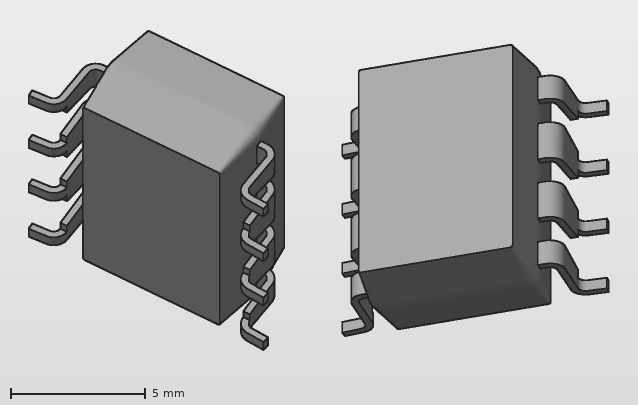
import cadquery as cq
import math


SPAN = 10.4
TOTAL_HEIGHT = 4.85

LEAD_THICKNESS = 0.29
LEAD_PITCH = 2.54
LEADS_PER_SIDE = 4
WIDE_WIDTH = 1.53
NECK_WIDTH = 1.13
FOOT_WIDTH = 0.46
SHANK_OUTER_X = 4.18
FOOT_TILT = 4.0
INNER_BEND = LEAD_THICKNESS
OUTER_BEND = INNER_BEND + LEAD_THICKNESS

HOUSING_WIDTH = 6.64
HOUSING_LENGTH = 9.29
HALF_DEPTH = 2.09
DRAFT = 8.0
CORNER_RADIUS = 0.4

WAIST_BACK = TOTAL_HEIGHT - HALF_DEPTH
WAIST_FRONT = WAIST_BACK - LEAD_THICKNESS
WALL_X = HOUSING_WIDTH / 2

TILT_SIN = math.sin(math.radians(FOOT_TILT))
TILT_COS = math.cos(math.radians(FOOT_TILT))
LOWER_BEND_X = SHANK_OUTER_X + INNER_BEND
FOOT_LENGTH = (SPAN / 2 - LOWER_BEND_X + INNER_BEND * TILT_SIN) / TILT_COS
LOWER_BEND_Y = OUTER_BEND * TILT_COS + FOOT_LENGTH * TILT_SIN


def housing_layer(plane_y, depth, draft):
    """Rounded rectangle at plane_y, extruded towards -Y for a positive depth."""
    outline = cq.Sketch().rect(HOUSING_WIDTH, HOUSING_LENGTH).vertices().fillet(CORNER_RADIUS)
    plane = cq.Workplane("XZ", origin=(0, plane_y, 0))
    return plane.placeSketch(outline).extrude(depth, taper=draft)


def make_housing():
    """Straight waist with a drafted half on both sides of it."""
    waist = housing_layer(WAIST_BACK, LEAD_THICKNESS, 0)
    front_half = housing_layer(WAIST_FRONT, HALF_DEPTH, DRAFT)
    back_half = front_half.mirror("XZ", (0, (WAIST_FRONT + WAIST_BACK) / 2, 0))
    return waist.union(front_half).union(back_half)


def lower_bend_point(radius, degrees):
    """Point on the lower bend, 0 degrees at the shank and growing towards the foot."""
    angle = math.radians(degrees)
    return (LOWER_BEND_X - radius * math.cos(angle), LOWER_BEND_Y - radius * math.sin(angle))


def along_foot(point):
    """The point moved by the length of the foot, from the lower bend to the tip."""
    return (point[0] + FOOT_LENGTH * TILT_COS, point[1] - FOOT_LENGTH * TILT_SIN)


def lead_profile():
    """Gull-wing strip of constant thickness in the XY plane, for the +X side."""
    shank_inner_x = SHANK_OUTER_X - LEAD_THICKNESS
    upper_bend_x = SHANK_OUTER_X - OUTER_BEND
    upper_bend_y = WAIST_BACK - OUTER_BEND
    diagonal = math.sqrt(0.5)
    bend_end = 90 - FOOT_TILT
    foot_bottom = lower_bend_point(OUTER_BEND, bend_end)
    foot_top = lower_bend_point(INNER_BEND, bend_end)
    return (
        cq.Workplane("XY")
        .moveTo(WALL_X, WAIST_BACK)
        .lineTo(upper_bend_x, WAIST_BACK)
        .threePointArc(
            (upper_bend_x + OUTER_BEND * diagonal, upper_bend_y + OUTER_BEND * diagonal),
            (SHANK_OUTER_X, upper_bend_y),
        )
        .lineTo(SHANK_OUTER_X, LOWER_BEND_Y)
        .threePointArc(lower_bend_point(INNER_BEND, bend_end / 2), foot_top)
        .lineTo(*along_foot(foot_top))
        .lineTo(*along_foot(foot_bottom))
        .lineTo(*foot_bottom)
        .threePointArc(lower_bend_point(OUTER_BEND, bend_end / 2), (shank_inner_x, LOWER_BEND_Y))
        .lineTo(shank_inner_x, upper_bend_y)
        .threePointArc(
            (upper_bend_x + INNER_BEND * diagonal, upper_bend_y + INNER_BEND * diagonal),
            (upper_bend_x, WAIST_FRONT),
        )
        .lineTo(WALL_X, WAIST_FRONT)
        .close()
    )


def lead_edge(side, trimmed):
    """Points (Y, Z) down one edge of a lead; a trimmed edge is straight at the foot's width."""
    wide = FOOT_WIDTH if trimmed else WIDE_WIDTH
    neck = FOOT_WIDTH if trimmed else NECK_WIDTH
    edge = [(WAIST_BACK, wide)]
    if not trimmed:
        edge += [(WAIST_BACK - OUTER_BEND, wide), (LOWER_BEND_Y, neck), (LOWER_BEND_Y, FOOT_WIDTH)]
    edge.append((0, FOOT_WIDTH))
    return [(y, side * width / 2) for y, width in edge]


def make_lead(index):
    """Lead on the +X side, counted from the -Z end; end leads are trimmed on their outer edge."""
    upper_edge = lead_edge(1, index == LEADS_PER_SIDE - 1)
    lower_edge = lead_edge(-1, index == 0)
    outline = cq.Workplane("YZ").polyline(upper_edge + lower_edge[::-1]).close().extrude(SPAN)
    strip = lead_profile().extrude(WIDE_WIDTH / 2, both=True)
    center_z = (index - (LEADS_PER_SIDE - 1) / 2) * LEAD_PITCH
    return strip.intersect(outline).translate((0, 0, center_z))


housing = make_housing()

leads = []
for lead_index in range(LEADS_PER_SIDE):
    lead = make_lead(lead_index)
    leads.append(lead.val())
    leads.append(lead.mirror("YZ").val())

result = cq.Compound.makeCompound([housing.val(), *leads])